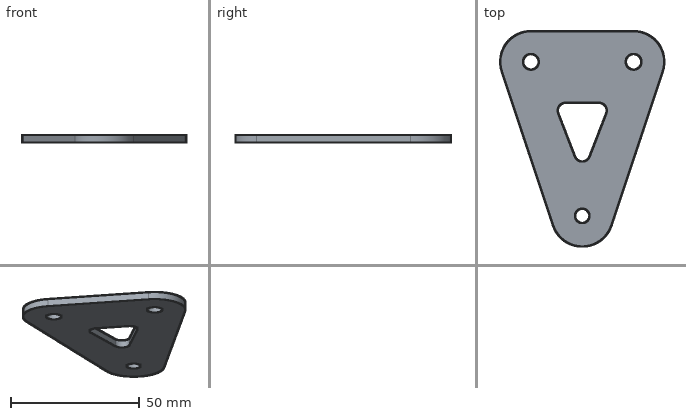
import cadquery as cq

thickness = 3.0
corner_radius = 12.0
upper_hole_spacing = 40.0
hole_row_distance = 60.0
upper_hole_diameter = 6.0
lower_hole_diameter = 5.5

window_corner_radius = 3.0
window_top = 44.0
window_bottom = 21.2
window_arc_spacing = 13.0

upper_holes = [(-upper_hole_spacing / 2, hole_row_distance), (upper_hole_spacing / 2, hole_row_distance)]
lower_hole = (0, 0)


def rounded_triangle(arc_centres, radius):
    """Extruded triangle whose corners are arcs about the given centres."""
    outline = cq.Workplane("XY").polyline(arc_centres).close().offset2D(radius, "arc")
    return outline.extrude(thickness)


def round_holes(centres, diameter):
    """Cylinders through the full plate thickness."""
    return cq.Workplane("XY").pushPoints(centres).circle(diameter / 2).extrude(thickness)


def window():
    """Triangular opening on the centre line, pointing at the lower hole."""
    upper_y = window_top - window_corner_radius
    lower_y = window_bottom + window_corner_radius
    half_spacing = window_arc_spacing / 2
    arc_centres = [(0, lower_y), (half_spacing, upper_y), (-half_spacing, upper_y)]
    return rounded_triangle(arc_centres, window_corner_radius)


plate = rounded_triangle([lower_hole] + upper_holes[::-1], corner_radius)
plate = plate.cut(round_holes(upper_holes, upper_hole_diameter))
plate = plate.cut(round_holes([lower_hole], lower_hole_diameter))
result = plate.cut(window())